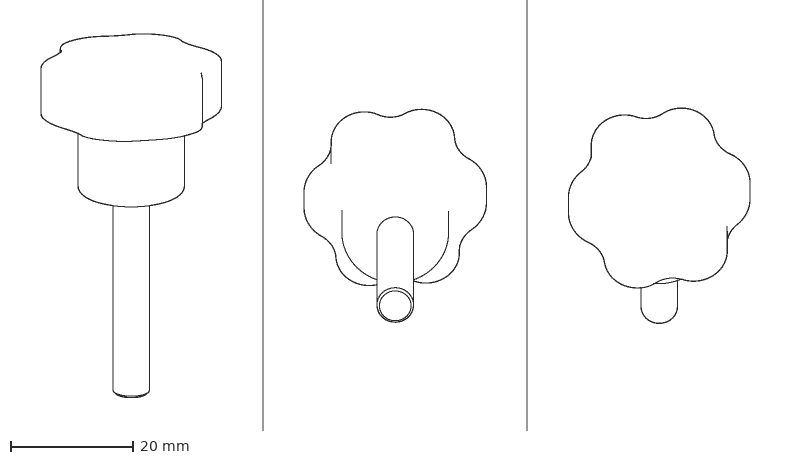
import cadquery as cq
import math

total_height = 59.0
stud_diameter = 6.0
stud_length = 35.0
stud_chamfer = 0.4

hub_diameter = 17.5
hub_edge_radius = 1.0
neck_radius = 1.4

lobe_count = 6
grip_radius = 15.0
lobe_radius = 5.3
valley_floor_radius = 12.4
dome_radius = 63.15
underside_radius = 47.2
underside_low_point = 46.3
rim_radius = 0.5

lobe_pitch = 360 / lobe_count
half_pitch = math.radians(lobe_pitch / 2)
lobe_center_radius = grip_radius - lobe_radius

lobe_along = lobe_center_radius * math.cos(half_pitch)
lobe_across = lobe_center_radius * math.sin(half_pitch)
valley_gap = valley_floor_radius - lobe_along
valley_radius = (lobe_across**2 + valley_gap**2 - lobe_radius**2) / (2 * (lobe_radius - valley_gap))

tangent_share = lobe_radius / (lobe_radius + valley_radius)
tangent_along = lobe_along + tangent_share * (valley_floor_radius + valley_radius - lobe_along)
tangent_across = lobe_across * (1 - tangent_share)
tangent_radius = math.hypot(tangent_along, tangent_across)
tangent_angle = math.degrees(math.atan2(tangent_across, tangent_along))


def polar(radius, degrees):
    angle = math.radians(degrees)
    return (radius * math.cos(angle), radius * math.sin(angle))


def lobed_outline():
    """Closed outline of alternating valley and lobe arcs; a valley faces +X and a lobe faces +Y."""
    outline = cq.Workplane("XY").moveTo(*polar(tangent_radius, -tangent_angle))
    for index in range(lobe_count):
        valley_angle = index * lobe_pitch
        lobe_angle = valley_angle + lobe_pitch / 2
        valley_end = polar(tangent_radius, valley_angle + tangent_angle)
        lobe_end = polar(tangent_radius, valley_angle + lobe_pitch - tangent_angle)
        outline = outline.threePointArc(polar(valley_floor_radius, valley_angle), valley_end)
        outline = outline.threePointArc(polar(grip_radius, lobe_angle), lobe_end)
    return outline.close()


def make_grip():
    """Lobed prism bounded by a domed top and a domed underside, with rounded rims."""
    prism = lobed_outline().extrude(total_height)
    dome = cq.Workplane("XY").sphere(dome_radius).translate((0, 0, total_height - dome_radius))
    underside = cq.Workplane("XY").sphere(underside_radius)
    underside = underside.translate((0, 0, underside_low_point + underside_radius))
    return prism.intersect(dome).intersect(underside).edges("not |Z").fillet(rim_radius)


def make_hub():
    """Round hub that reaches up into the grip, with a rounded lower edge."""
    hub_top = (underside_low_point + total_height) / 2
    hub = cq.Workplane("XY").workplane(offset=stud_length).circle(hub_diameter / 2)
    return hub.extrude(hub_top - stud_length).faces("<Z").edges().fillet(hub_edge_radius)


def make_stud():
    """Plain stud with a chamfered tip."""
    stud = cq.Workplane("XY").circle(stud_diameter / 2).extrude(stud_length)
    return stud.faces("<Z").chamfer(stud_chamfer)


knob = make_grip().union(make_hub())

hub_sag = underside_radius - math.sqrt(underside_radius**2 - (hub_diameter / 2) ** 2)
neck_height = underside_low_point + hub_sag
neck_reach = hub_diameter / 2 + rim_radius
neck_zone = cq.selectors.BoxSelector(
    (-neck_reach, -neck_reach, neck_height - rim_radius),
    (neck_reach, neck_reach, neck_height + rim_radius),
    boundingbox=True,
)
knob = knob.edges(neck_zone).fillet(neck_radius)

result = knob.union(make_stud())